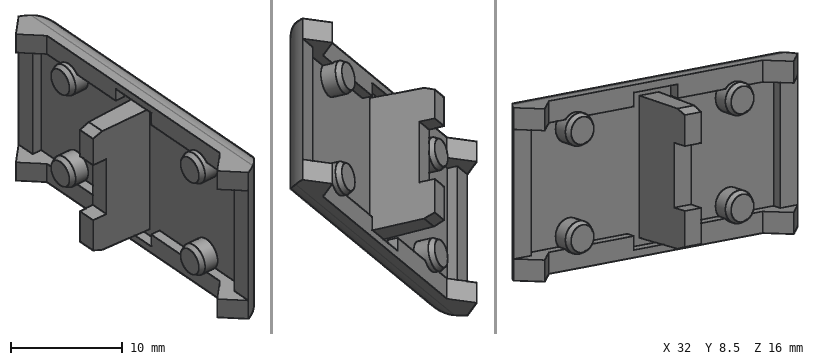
import cadquery as cq
import math

length = 31.95
height = 16.0
plate_thickness = 3.0
end_radius = 5.0
edge_radius = 2.0
end_arc_run = math.sqrt(end_radius**2 - (end_radius - plate_thickness) ** 2)

rim_width = 2.0
end_lip_width = 1.98
pocket_depth = 1.0
notch_width = 4.92
notch_height = 14.57

foot_height = 1.98
foot_width = 2 * foot_height

peg_spacing_x = 18.0
peg_spacing_z = 10.0
peg_radius = 1.55
peg_tip_radius = 1.28
peg_tip_y = -1.0
peg_bevel_length = 0.5

web_root_height = 13.17
web_bevel_height = 12.98
web_reach = 5.5
web_root_width = 2.17
web_tip_width = 1.82
web_bevel_length = 1.05
web_bevel_drop = 0.38
web_gap_height = 6.0
web_gap_center_z = 0.22
web_gap_depth = 1.55


def make_plate():
    """Plate whose outer face rounds down towards all four sides."""
    half_length = length / 2
    arc_start = half_length - end_arc_run
    arc_angle = math.asin(end_arc_run / end_radius) / 2
    arc_mid_x = arc_start + end_radius * math.sin(arc_angle)
    arc_mid_y = plate_thickness - end_radius * (1 - math.cos(arc_angle))
    long_section = (
        cq.Workplane("XY")
        .moveTo(-half_length, 0)
        .lineTo(half_length, 0)
        .threePointArc((arc_mid_x, arc_mid_y), (arc_start, plate_thickness))
        .lineTo(-arc_start, plate_thickness)
        .threePointArc((-arc_mid_x, arc_mid_y), (-half_length, 0))
        .close()
        .extrude(height / 2, both=True)
    )
    rounded_bar = (
        cq.Workplane("XY")
        .box(length, plate_thickness, height)
        .translate((0, plate_thickness / 2, 0))
        .faces(">Y")
        .edges("|X")
        .fillet(edge_radius)
    )
    return long_section.intersect(rounded_bar)


def make_pocket():
    """Shallow recess, widened at mid-length around the web."""
    pocket_length = length - 2 * end_lip_width
    pocket_height = height - 2 * rim_width
    middle = (0, pocket_depth / 2, 0)
    main = cq.Workplane("XY").box(pocket_length, pocket_depth, pocket_height).translate(middle)
    notch = cq.Workplane("XY").box(notch_width, pocket_depth, notch_height).translate(middle)
    return main.union(notch)


def make_foot(side_x, side_z):
    """Triangular foot at one corner, as deep as the rim."""
    outer_x = side_x * length / 2
    inner_x = side_x * (length / 2 - foot_width)
    tip_x = (outer_x + inner_x) / 2
    middle_z = side_z * (height - rim_width) / 2
    return (
        cq.Workplane("XY", origin=(0, 0, middle_z))
        .polyline([(outer_x, 0), (tip_x, -foot_height), (inner_x, 0)])
        .close()
        .extrude(rim_width / 2, both=True)
    )


def make_peg(side_x, side_z):
    """Round peg rising from the pocket floor, with a bevelled tip."""
    profile = [
        (0, pocket_depth),
        (peg_radius, pocket_depth),
        (peg_radius, peg_tip_y + peg_bevel_length),
        (peg_tip_radius, peg_tip_y),
        (0, peg_tip_y),
    ]
    peg = cq.Workplane("XY").polyline(profile).close().revolve(360, (0, 0), (0, 1))
    return peg.translate((side_x * peg_spacing_x / 2, 0, side_z * peg_spacing_z / 2))


def make_web():
    """Tapered central web with bevelled corners and an off-centre gap in its free edge."""
    half_root = web_root_height / 2
    half_height = web_bevel_height / 2
    gap_top = web_gap_center_z + web_gap_height / 2
    gap_bottom = web_gap_center_z - web_gap_height / 2
    bevel_y = -web_reach + web_bevel_length
    bevel_z = half_height - web_bevel_drop
    gap_y = -web_reach + web_gap_depth
    side_outline = (
        cq.Workplane("YZ")
        .polyline([
            (pocket_depth, -half_root),
            (bevel_y, -half_height),
            (-web_reach, -bevel_z),
            (-web_reach, gap_bottom),
            (gap_y, gap_bottom),
            (gap_y, gap_top),
            (-web_reach, gap_top),
            (-web_reach, bevel_z),
            (bevel_y, half_height),
            (pocket_depth, half_root),
        ])
        .close()
        .extrude(web_root_width / 2, both=True)
    )
    taper = (
        cq.Workplane("XY")
        .polyline([
            (-web_root_width / 2, pocket_depth),
            (web_root_width / 2, pocket_depth),
            (web_tip_width / 2, -web_reach),
            (-web_tip_width / 2, -web_reach),
        ])
        .close()
        .extrude(half_root, both=True)
    )
    return side_outline.intersect(taper)


result = make_plate().cut(make_pocket()).union(make_web())
for side_x in (-1, 1):
    for side_z in (-1, 1):
        result = result.union(make_foot(side_x, side_z))
        result = result.union(make_peg(side_x, side_z))